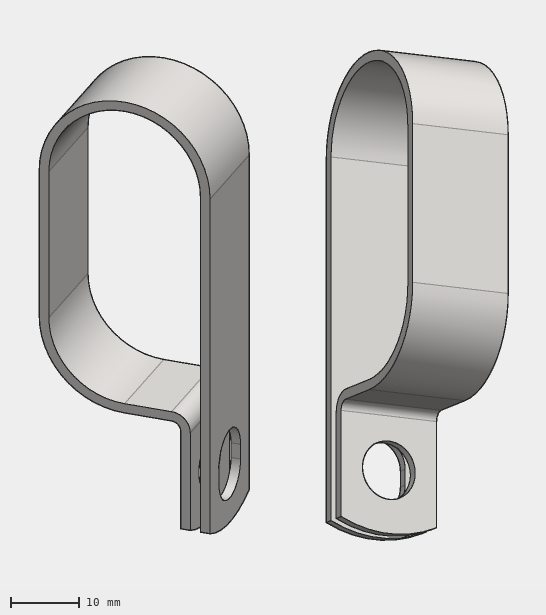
import cadquery as cq
import math

strip_width = 15.875
thickness = 1.524

inner_radius = 11.9
outer_radius = inner_radius + thickness
straight_length = 23.8125

leg_length = 19.05
leg_gap = 1.5875
bend_inner_radius = 1.4
bend_outer_radius = bend_inner_radius + thickness
tip_radius = 19.05
hole_diameter = 8.73
slot_length = 11.11
hole_to_tip = 9.525

loop_bottom = -outer_radius
tip_z = loop_bottom - leg_length
short_leg_outer_x = inner_radius - leg_gap
short_leg_inner_x = short_leg_outer_x - thickness
bend_x = short_leg_inner_x - bend_inner_radius
bend_z = loop_bottom - bend_inner_radius

diagonal = math.sqrt(0.5)


def make_strip():
    """Bent strip, its edge outline extruded symmetrically across the width."""
    outline = (
        cq.Workplane("XZ")
        .moveTo(outer_radius, tip_z)
        .lineTo(outer_radius, straight_length)
        .threePointArc((0, straight_length + outer_radius), (-outer_radius, straight_length))
        .lineTo(-outer_radius, 0)
        .threePointArc((-outer_radius * diagonal, -outer_radius * diagonal), (0, -outer_radius))
        .lineTo(bend_x, loop_bottom)
        .threePointArc(
            (bend_x + bend_inner_radius * diagonal, bend_z + bend_inner_radius * diagonal),
            (short_leg_inner_x, bend_z),
        )
        .lineTo(short_leg_inner_x, tip_z)
        .lineTo(short_leg_outer_x, tip_z)
        .lineTo(short_leg_outer_x, bend_z)
        .threePointArc(
            (bend_x + bend_outer_radius * diagonal, bend_z + bend_outer_radius * diagonal),
            (bend_x, -inner_radius),
        )
        .lineTo(0, -inner_radius)
        .threePointArc((-inner_radius * diagonal, -inner_radius * diagonal), (-inner_radius, 0))
        .lineTo(-inner_radius, straight_length)
        .threePointArc((0, straight_length + inner_radius), (inner_radius, straight_length))
        .lineTo(inner_radius, tip_z)
        .close()
    )
    return outline.extrude(strip_width / 2, both=True)


def make_side_envelope():
    """Strip silhouette along X: straight sides, a rounded tip."""
    half_width = strip_width / 2
    top_z = straight_length + outer_radius
    tip_rise = tip_radius - math.sqrt(tip_radius**2 - half_width**2)
    return (
        cq.Workplane("YZ")
        .moveTo(-half_width, top_z)
        .lineTo(-half_width, tip_z + tip_rise)
        .threePointArc((0, tip_z), (half_width, tip_z + tip_rise))
        .lineTo(half_width, top_z)
        .close()
        .extrude(outer_radius, both=True)
    )


def leg_face(face_x):
    """Workplane facing +X at face_x, centred on the bolt axis."""
    return cq.Workplane("YZ").workplane(offset=face_x).center(0, tip_z + hole_to_tip)


def make_short_leg_hole():
    """Round bolt hole through the short leg."""
    return leg_face(short_leg_inner_x).circle(hole_diameter / 2).extrude(thickness)


def make_long_leg_slot():
    """Upright slot through the long leg, as wide as the round hole."""
    return leg_face(inner_radius).slot2D(slot_length, hole_diameter, 90).extrude(thickness)


result = (
    make_strip()
    .intersect(make_side_envelope())
    .cut(make_short_leg_hole())
    .cut(make_long_leg_slot())
)